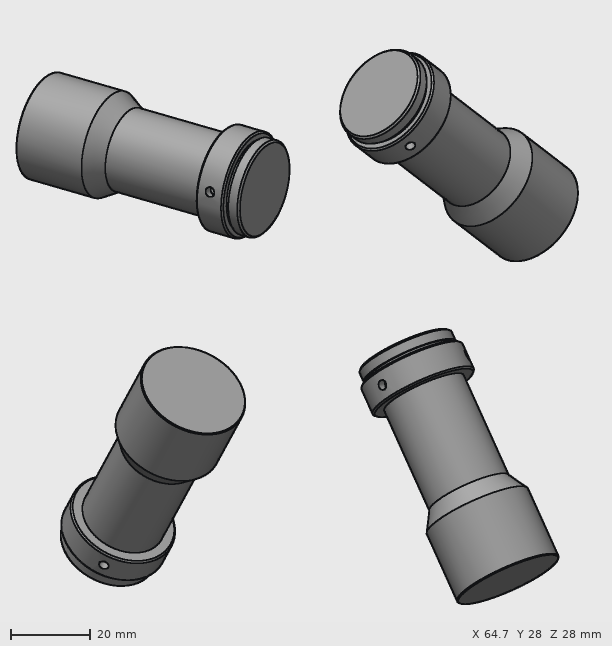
import cadquery as cq
import math

total_length = 64.7
head_end = 19.3
taper_end = 24.45
collar_start = 52.7
collar_end = 60.6
groove_end = 61.6

body_radius = 28.0 / 2
neck_radius = 11.0
groove_radius = 12.05
spigot_radius = 12.75

head_chamfer = 0.25
collar_chamfer = 0.45
spigot_chamfer = 0.5

hole_radius = 2.5 / 2
hole_depth = 2.6
drill_point_angle = 118.0
hole_count = 3
first_hole_angle = 46.0
hole_x = (collar_start + collar_end) / 2


def turned_body():
    """Half profile in the XZ plane, revolved about the X axis."""
    profile = [
        (0, 0),
        (0, body_radius - head_chamfer),
        (head_chamfer, body_radius),
        (head_end, body_radius),
        (taper_end, neck_radius),
        (collar_start, neck_radius),
        (collar_start, body_radius - collar_chamfer),
        (collar_start + collar_chamfer, body_radius),
        (collar_end - collar_chamfer, body_radius),
        (collar_end, body_radius - collar_chamfer),
        (collar_end, groove_radius),
        (groove_end, groove_radius),
        (groove_end, spigot_radius),
        (total_length - spigot_chamfer, spigot_radius),
        (total_length, spigot_radius - spigot_chamfer),
        (total_length, 0),
    ]
    return cq.Workplane("XZ").polyline(profile).close().revolve(360, (0, 0), (1, 0))


def screw_hole(angle):
    """Radial drilled hole with a conical bottom, at an angle about X."""
    outward = cq.Vector(0, math.cos(math.radians(angle)), math.sin(math.radians(angle)))
    shoulder = cq.Vector(hole_x, 0, 0) + outward * (body_radius - hole_depth)
    shaft = cq.Solid.makeCylinder(hole_radius, 2 * hole_depth, shoulder, outward)
    point_height = hole_radius / math.tan(math.radians(drill_point_angle / 2))
    drill_point = cq.Solid.makeCone(hole_radius, 0, point_height, shoulder, outward * -1)
    return cq.Workplane(shaft).union(cq.Workplane(drill_point))


result = turned_body()

for index in range(hole_count):
    result = result.cut(screw_hole(first_hole_angle + index * 360 / hole_count))